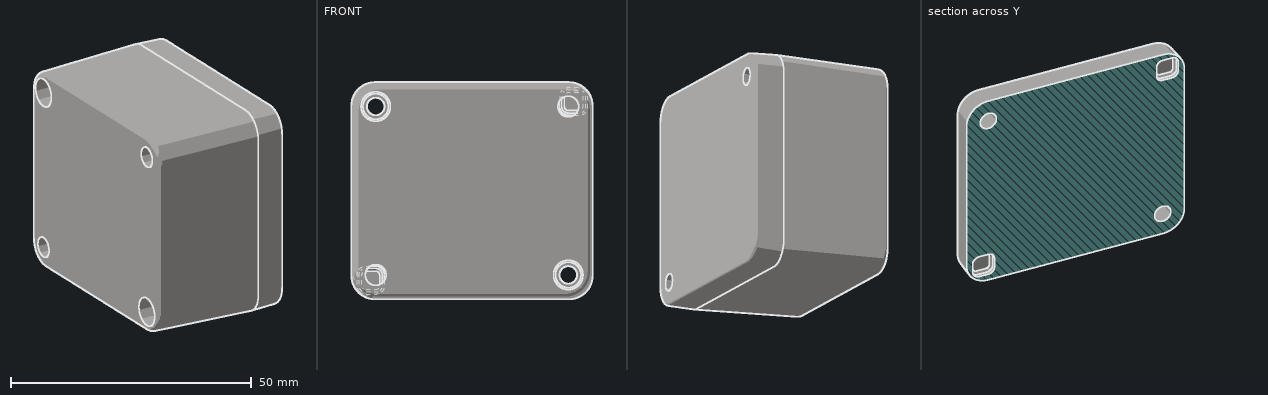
import cadquery as cq
import math

width = 50.2
height = 45.2
total_depth = 30.4
lid_depth = 6.2
base_depth = total_depth - lid_depth
wall_draft = 1.5
corner_radius = 5.0
base_edge_fillet = 1.0
lid_edge_fillet = 0.5

hole_half_pitch_x = 40.0 / 2
hole_half_pitch_z = 35.0 / 2
screw_corners = [(-1, 1), (1, -1)]
mount_corners = [(1, 1), (-1, -1)]

screw_diameter = 3.6
well_mouth_diameter = 6.1
well_depth = 18.05
well_draft = 1.3
well_floor_diameter = well_mouth_diameter - 2 * well_depth * math.tan(math.radians(well_draft))

mount_diameter = 4.3
recess_corner_radius = 1.35
recess_outer_reach = 3.5
recess_depth = 2.5
recess_mouth_chamfer = 0.45
recess_floor_chamfer = 0.55
recess_side = recess_corner_radius + recess_outer_reach
recess_offset = (recess_outer_reach - recess_corner_radius) / 2


def plane_facing(direction):
    """Parting plane whose normal is +Y (1) or -Y (-1); local X is global X."""
    return cq.Plane(origin=(0, 0, 0), xDir=(1, 0, 0), normal=(0, direction, 0))


def hole_axis(corner):
    """X and Z of the hole axis in a corner."""
    return corner[0] * hole_half_pitch_x, corner[1] * hole_half_pitch_z


def enclosure_block(direction, depth, edge_fillet):
    """Drafted block from the parting plane, with round corners and a filleted end face."""
    end_face = ">Y" if direction > 0 else "<Y"
    block = cq.Workplane(plane_facing(direction)).rect(width, height).extrude(depth, taper=wall_draft)
    block = block.edges("not(|X or |Z)").fillet(corner_radius)
    return block.faces(end_face).edges().fillet(edge_fillet)


def through_hole(corner, diameter):
    """Cylinder along Y through the full depth of the enclosure."""
    x, z = hole_axis(corner)
    cylinder = cq.Solid.makeCylinder(
        diameter / 2, total_depth, cq.Vector(x, -base_depth, z), cq.Vector(0, 1, 0)
    )
    return cq.Workplane(cylinder)


def head_well(corner):
    """Tapered well for a screw head, entering from the end face of the base."""
    x, z = hole_axis(corner)
    cone = cq.Solid.makeCone(
        well_mouth_diameter / 2,
        well_floor_diameter / 2,
        well_depth,
        cq.Vector(x, -base_depth, z),
        cq.Vector(0, 1, 0),
    )
    return cq.Workplane(cone)


def rounded_square_plug(side, depth, radius, floor_chamfer):
    """Rounded square block from Y = 0 toward +Y, chamfered around its far end."""
    plug = cq.Workplane("XY").box(side, depth, side, centered=(True, False, True))
    plug = plug.edges("|Y").fillet(radius)
    return plug.faces(">Y").edges().chamfer(floor_chamfer)


def lid_recess(corner):
    """Square recess in the lid, shifted outward from the hole axis, with sloped mouth and floor edges."""
    x, z = hole_axis(corner)
    center = (x + corner[0] * recess_offset, 0, z + corner[1] * recess_offset)
    pocket = rounded_square_plug(recess_side, recess_depth, recess_corner_radius, recess_floor_chamfer)
    mouth = rounded_square_plug(
        recess_side + 2 * recess_mouth_chamfer,
        2 * recess_mouth_chamfer,
        recess_corner_radius + recess_mouth_chamfer,
        recess_mouth_chamfer,
    ).translate((0, -recess_mouth_chamfer, 0))
    return pocket.union(mouth).translate(center)


def make_base():
    base = enclosure_block(-1, base_depth, base_edge_fillet)
    for corner in screw_corners:
        base = base.cut(through_hole(corner, screw_diameter)).cut(head_well(corner))
    for corner in mount_corners:
        base = base.cut(through_hole(corner, mount_diameter))
    return base


def make_lid():
    lid = enclosure_block(1, lid_depth, lid_edge_fillet)
    for corner in screw_corners:
        lid = lid.cut(through_hole(corner, screw_diameter))
    for corner in mount_corners:
        lid = lid.cut(lid_recess(corner))
    return lid


base = make_base()
lid = make_lid()

result = cq.Compound.makeCompound([base.solids().val(), lid.solids().val()])